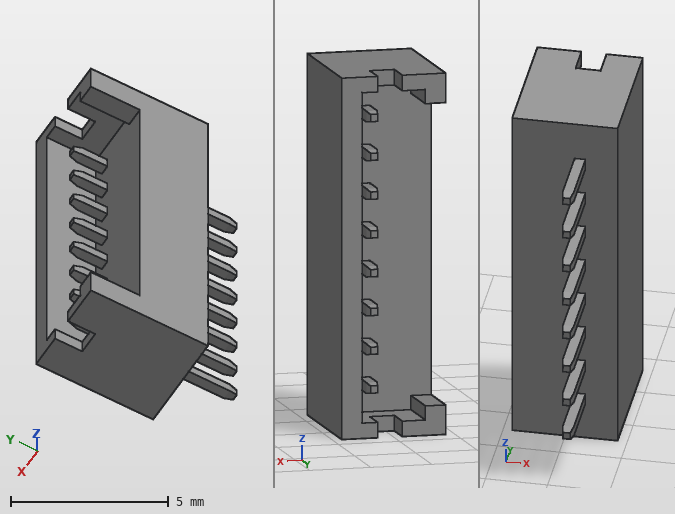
import cadquery as cq

HOUSING_WIDTH = 3.4
HOUSING_DEPTH = 4.31
HOUSING_LENGTH = 11.65

CAVITY_DEPTH = 1.8
SIDE_WALL = 0.66
END_WALL = 0.5

WINDOW_MARGIN = 0.95

SLOT_START = 1.42
SLOT_WIDTH = 0.8
SLOT_DEPTH = 1.0

PIN_COUNT = 8
PIN_ROW_SPAN = 8.75
PIN_PITCH = PIN_ROW_SPAN / (PIN_COUNT - 1)
PIN_X = 2.19
PIN_SIZE = 0.35
PIN_TIP_SIZE = 0.23
PIN_TIP_LENGTH = 0.3
PIN_PROJECTION = 2.3
PIN_RECESS = 0.59


def box_from(corner, size):
    """Box that spans from its lowest corner by the given X, Y and Z size."""
    return cq.Workplane("XY").box(*size, centered=False).translate(corner)


def make_housing():
    """Block with the cavity, the side window and the end slots cut into it."""
    cavity_floor = HOUSING_DEPTH - CAVITY_DEPTH
    block = box_from((0, 0, 0), (HOUSING_WIDTH, HOUSING_DEPTH, HOUSING_LENGTH))
    cavity = box_from(
        (SIDE_WALL, cavity_floor, END_WALL),
        (HOUSING_WIDTH - 2 * SIDE_WALL, CAVITY_DEPTH, HOUSING_LENGTH - 2 * END_WALL),
    )
    window = box_from(
        (0, cavity_floor, WINDOW_MARGIN),
        (SIDE_WALL, CAVITY_DEPTH, HOUSING_LENGTH - 2 * WINDOW_MARGIN),
    )
    slots = box_from(
        (SLOT_START, HOUSING_DEPTH - SLOT_DEPTH, 0),
        (SLOT_WIDTH, SLOT_DEPTH, HOUSING_LENGTH),
    )
    return block.cut(cavity).cut(window).cut(slots)


def make_tip(shaft_end, direction):
    """Tapered tip that starts at Y = shaft_end and points along direction (+1 or -1)."""
    base = cq.Plane(origin=(0, shaft_end, 0), xDir=(1, 0, 0), normal=(0, direction, 0))
    return (
        cq.Workplane(base)
        .rect(PIN_SIZE, PIN_SIZE)
        .workplane(offset=PIN_TIP_LENGTH)
        .rect(PIN_TIP_SIZE, PIN_TIP_SIZE)
        .loft(ruled=True)
    )


def make_pin():
    """One pin along Y, centred on X = 0 and Z = 0."""
    shaft_start = PIN_TIP_LENGTH - PIN_PROJECTION
    shaft_end = HOUSING_DEPTH - PIN_RECESS - PIN_TIP_LENGTH
    shaft = box_from(
        (-PIN_SIZE / 2, shaft_start, -PIN_SIZE / 2),
        (PIN_SIZE, shaft_end - shaft_start, PIN_SIZE),
    )
    return shaft.union(make_tip(shaft_start, -1)).union(make_tip(shaft_end, 1))


result = make_housing()
pin = make_pin()
first_pin_z = (HOUSING_LENGTH - PIN_ROW_SPAN) / 2
for index in range(PIN_COUNT):
    result = result.union(pin.translate((PIN_X, 0, first_pin_z + index * PIN_PITCH)))